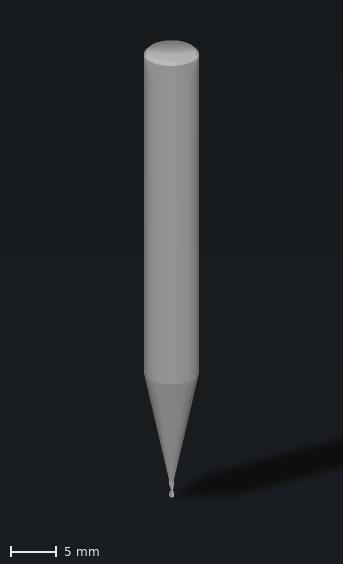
import cadquery as cq
import math

total_length = 54.0

shank_diameter = 6.0
chamfer_size = 0.4
taper_half_angle = 11.9

cutting_diameter = 0.5
head_length = 2.1
point_angle = 118.0
flute_length = 1.7
flute_count = 2
web_thickness = 0.1
flute_radius = 0.7
helix_angle = 30.0
flute_start_angle = -80.0

shank_radius = shank_diameter / 2
cutting_radius = cutting_diameter / 2
taper_length = (shank_radius - cutting_radius) / math.tan(math.radians(taper_half_angle))
point_height = cutting_radius / math.tan(math.radians(point_angle / 2))
flute_pitch = math.pi * cutting_diameter / math.tan(math.radians(helix_angle))
flute_twist = 360.0 * flute_length / flute_pitch
flute_offset = web_thickness / 2 + flute_radius


def make_shank():
    """Shank and taper, revolved about Z, ending on the flat top of the cutting head."""
    taper_top = head_length + taper_length
    return (
        cq.Workplane("XZ")
        .moveTo(0, head_length)
        .lineTo(cutting_radius, head_length)
        .lineTo(shank_radius, taper_top)
        .lineTo(shank_radius, total_length - chamfer_size)
        .lineTo(shank_radius - chamfer_size, total_length)
        .lineTo(0, total_length)
        .close()
        .revolve(360, (0, 0, 0), (0, 1, 0))
    )


def make_flute(direction):
    """Helical cutter whose round section starts at the tip in the given direction."""
    angle = math.radians(direction)
    return (
        cq.Workplane("XY")
        .moveTo(flute_offset * math.cos(angle), flute_offset * math.sin(angle))
        .circle(flute_radius)
        .twistExtrude(flute_length, flute_twist)
    )


def make_cutting_head():
    """Pointed cylinder with evenly spaced helical flutes."""
    head = (
        cq.Workplane("XZ")
        .lineTo(cutting_radius, point_height)
        .lineTo(cutting_radius, head_length)
        .lineTo(0, head_length)
        .close()
        .revolve(360, (0, 0, 0), (0, 1, 0))
    )
    for index in range(flute_count):
        head = head.cut(make_flute(flute_start_angle + index * 360.0 / flute_count))
    return head


shank = make_shank()
cutting_head = make_cutting_head()

result = cq.Compound.makeCompound([shank.val(), cutting_head.solids().val()])